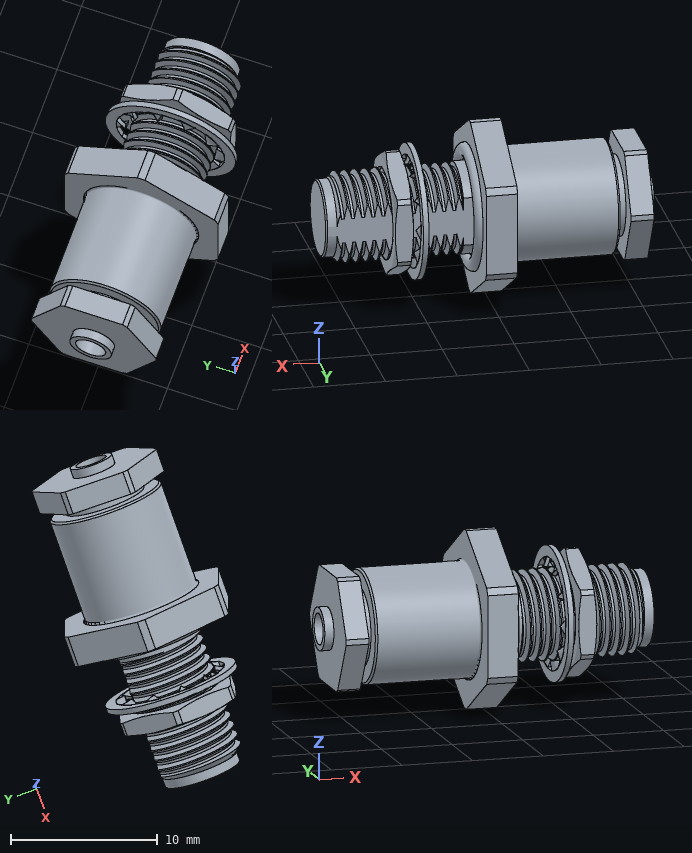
import cadquery as cq
import math


TAIL_RADIUS = 1.5
TAIL_BORE_RADIUS = 1.09
CLAMP_HEX_START = 0.65
CLAMP_HEX_END = 2.26
NECK_RADIUS = 2.82

BARREL_START = 2.9
HEX_START = 10.38
HEX_END = 12.55
SHOULDER_END = 13.55
THREAD_END = 22.32
LENGTH = 23.1

BARREL_RADIUS = 4.02
BARREL_EDGE = 0.15
NOSE_RADIUS = 2.7
NOSE_CHAMFER = 0.12
KEY_FLAT_Y = 2.68

SMALL_HEX_FLATS = 8.0
SMALL_HEX_CORNERS = 9.01
LARGE_HEX_FLATS = 11.12
LARGE_HEX_CORNERS = 12.53

THREAD_CREST_RADIUS = 3.2
THREAD_ROOT_RADIUS = 2.82
THREAD_PITCH = 0.705
THREAD_CREST_WIDTH = 0.1
THREAD_CREST_X = 13.95
GROOVE_CLEARANCE = 0.05
THREAD_LEAD = 2 * THREAD_PITCH

ORING_RADIUS = 3.93
ORING_SECTION_RADIUS = 0.5

WASHER_START = 16.36
WASHER_END = 16.75
WASHER_RADIUS = 4.71
WASHER_HOLE_RADIUS = 3.9
TOOTH_COUNT = 10
TOOTH_ROOT_RADIUS = 3.97
TOOTH_TIP_RADIUS = 3.21
TOOTH_THICKNESS = 0.35
TOOTH_ROOT_WIDTH = 1.36
TOOTH_TIP_WIDTH = 0.79
TOOTH_TWIST = 45

LOCK_NUT_START = 17.29
LOCK_NUT_END = 18.55
LOCK_NUT_CHAMFER = 0.16
LOCK_NUT_FACE_RADIUS = SMALL_HEX_FLATS / 2


def turned(points):
    """Revolve an (x, radius) outline about the X axis."""
    return cq.Workplane("XZ").polyline(points).close().revolve(360, (0, 0), (1, 0))


def cylinder(x_start, x_end, radius):
    return cq.Workplane("YZ", origin=(x_start, 0, 0)).circle(radius).extrude(x_end - x_start)


def hexagon(x_start, x_end, across_flats, across_corners, turn):
    """Hexagonal prism along X with turned corners; turn 0 points a corner along Y, 30 along Z."""
    prism = (
        cq.Workplane("YZ", origin=(x_start, 0, 0))
        .polygon(6, across_flats / math.cos(math.radians(30)))
        .extrude(x_end - x_start)
        .rotate((0, 0, 0), (1, 0, 0), turn)
    )
    return prism.intersect(cylinder(x_start, x_end, across_corners / 2))


def make_clamp_nut():
    tail = cylinder(0, CLAMP_HEX_START, TAIL_RADIUS)
    head = hexagon(CLAMP_HEX_START, CLAMP_HEX_END, SMALL_HEX_FLATS, SMALL_HEX_CORNERS, 0)
    neck = cylinder(CLAMP_HEX_END, BARREL_START, NECK_RADIUS)
    bore = cylinder(0, BARREL_START, TAIL_BORE_RADIUS)
    return tail.union(head).union(neck).cut(bore)


def make_thread():
    """Threaded length of the housing, turned down to the nose radius at its free end."""
    start = THREAD_CREST_X - THREAD_PITCH / 2 - THREAD_LEAD
    height = THREAD_END + THREAD_LEAD - start
    mouth_radius = THREAD_CREST_RADIUS + GROOVE_CLEARANCE
    flank_slope = math.tan(math.radians(30))
    mouth_half = (THREAD_PITCH - THREAD_CREST_WIDTH) / 2 + GROOVE_CLEARANCE * flank_slope
    bottom_half = mouth_half - (mouth_radius - THREAD_ROOT_RADIUS) * flank_slope

    helix = cq.Wire.makeHelix(THREAD_PITCH, height, THREAD_ROOT_RADIUS)
    section = (
        cq.Workplane("XZ")
        .polyline([
            (THREAD_ROOT_RADIUS, -bottom_half),
            (mouth_radius, -mouth_half),
            (mouth_radius, mouth_half),
            (THREAD_ROOT_RADIUS, bottom_half),
        ])
        .close()
    )
    groove = section.sweep(cq.Workplane(obj=helix), isFrenet=True)
    groove = groove.rotate((0, 0, 0), (0, 1, 0), 90)
    groove = groove.rotate((0, 0, 0), (1, 0, 0), 180).translate((start, 0, 0))

    rod = cylinder(start - THREAD_LEAD, start + height + THREAD_LEAD, THREAD_CREST_RADIUS)
    stock_radius = THREAD_CREST_RADIUS + GROOVE_CLEARANCE
    envelope = turned([
        (SHOULDER_END, 0),
        (SHOULDER_END, stock_radius),
        (THREAD_END - (stock_radius - NOSE_RADIUS), stock_radius),
        (THREAD_END, NOSE_RADIUS),
        (THREAD_END, 0),
    ])
    return rod.cut(groove).intersect(envelope)


def make_oring():
    return cq.Workplane(
        obj=cq.Solid.makeTorus(
            ORING_RADIUS, ORING_SECTION_RADIUS, cq.Vector(HEX_END, 0, 0), cq.Vector(1, 0, 0)
        )
    )


def make_housing(oring):
    hex_flange = hexagon(HEX_START, HEX_END, LARGE_HEX_FLATS, LARGE_HEX_CORNERS, 30)
    barrel = cylinder(BARREL_START, HEX_START, BARREL_RADIUS).faces("<X").chamfer(BARREL_EDGE)
    fillet = (
        cq.Workplane("XZ")
        .moveTo(HEX_START - BARREL_EDGE, 0)
        .lineTo(HEX_START - BARREL_EDGE, BARREL_RADIUS)
        .radiusArc((HEX_START, BARREL_RADIUS + BARREL_EDGE), -BARREL_EDGE)
        .lineTo(HEX_START, 0)
        .close()
        .revolve(360, (0, 0), (1, 0))
    )
    shoulder = cylinder(HEX_END, SHOULDER_END, THREAD_CREST_RADIUS)
    nose = cylinder(THREAD_END, LENGTH, NOSE_RADIUS).faces(">X").chamfer(NOSE_CHAMFER)
    key_flat = cq.Workplane("XY").box(
        LENGTH - HEX_END, BARREL_RADIUS, LARGE_HEX_CORNERS, centered=(False, False, True)
    ).translate((HEX_END, KEY_FLAT_Y, 0))
    stem = shoulder.union(make_thread()).cut(key_flat).union(nose.cut(key_flat))
    return barrel.union(fillet).union(hex_flange.cut(oring)).union(stem)


def make_tooth():
    """Washer tooth on the -Y side, twisted about its own radial direction toward the tip."""
    middle = (WASHER_START + WASHER_END) / 2

    def section(radius, width, twist):
        outline = cq.Workplane("XZ", origin=(middle, -radius, 0))
        return outline.transformed(rotate=(0, 0, twist)).rect(TOOTH_THICKNESS, width).wires().val()

    root = section(TOOTH_ROOT_RADIUS, TOOTH_ROOT_WIDTH, 0)
    tip = section(TOOTH_TIP_RADIUS, TOOTH_TIP_WIDTH, -TOOTH_TWIST)
    return cq.Workplane(obj=cq.Solid.makeLoft([root, tip], True))


def make_lock_washer():
    ring = cylinder(WASHER_START, WASHER_END, WASHER_RADIUS)
    washer = ring.cut(cylinder(WASHER_START, WASHER_END, WASHER_HOLE_RADIUS))
    tooth = make_tooth()
    for index in range(TOOTH_COUNT):
        washer = washer.union(tooth.rotate((0, 0, 0), (1, 0, 0), index * 360 / TOOTH_COUNT))
    return washer


def make_lock_nut():
    corner_radius = SMALL_HEX_CORNERS / 2
    body = hexagon(LOCK_NUT_START, LOCK_NUT_END, SMALL_HEX_FLATS, SMALL_HEX_CORNERS, 30)
    chamfered_blank = turned([
        (LOCK_NUT_START, 0),
        (LOCK_NUT_START, LOCK_NUT_FACE_RADIUS),
        (LOCK_NUT_START + LOCK_NUT_CHAMFER, corner_radius),
        (LOCK_NUT_END - LOCK_NUT_CHAMFER, corner_radius),
        (LOCK_NUT_END, LOCK_NUT_FACE_RADIUS),
        (LOCK_NUT_END, 0),
    ])
    bore = cylinder(LOCK_NUT_START, LOCK_NUT_END, THREAD_CREST_RADIUS)
    return body.intersect(chamfered_blank).cut(bore)


clamp_nut = make_clamp_nut()
oring = make_oring()
housing = make_housing(oring)
lock_washer = make_lock_washer()
lock_nut = make_lock_nut()

result = cq.Compound.makeCompound([
    clamp_nut.val(),
    housing.val(),
    oring.val(),
    lock_washer.val(),
    lock_nut.val(),
])